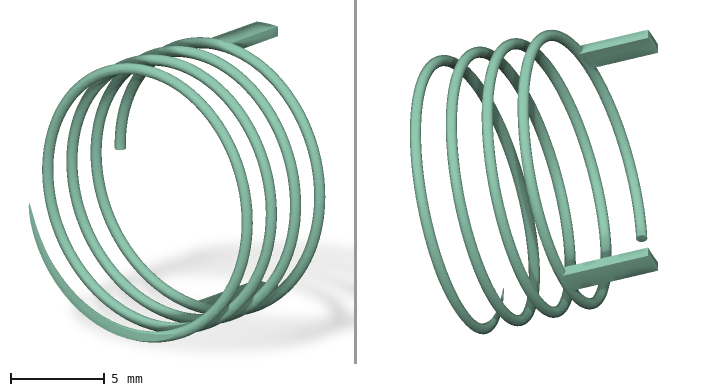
import cadquery as cq
import math

outer_diameter = 15.14
wire_diameter = 0.6
pitch = 2.075
half_turns = 8
ground_depth = 0.355

overall_length = 11.5
tab_width = 1.46
tab_thickness = 0.55

wire_radius = wire_diameter / 2
coil_radius = outer_diameter / 2 - wire_radius
half_pitch = pitch / 2
tab_outer_radius = coil_radius + tab_thickness / 2
tab_inner_radius = coil_radius - tab_thickness / 2

coil_end_y = half_turns * half_pitch - ground_depth
bottom_crossing_y = coil_end_y - 0.75 * pitch
top_crossing_y = coil_end_y - 0.25 * pitch


def make_half_turn(index):
    """Half turn of wire, swept around Z and then turned so that the coil rises along +Y."""
    path = cq.Wire.makeHelix(pitch, half_pitch, coil_radius, lefthand=True)
    start_tangent = (0, -2 * math.pi * coil_radius, pitch)
    section_plane = cq.Plane(origin=(coil_radius, 0, 0), xDir=(0, 0, 1), normal=start_tangent)
    section = (
        cq.Workplane(section_plane)
        .moveTo(wire_radius, 0)
        .threePointArc((0, wire_radius), (-wire_radius, 0))
        .threePointArc((0, -wire_radius), (wire_radius, 0))
        .close()
    )
    wire = section.sweep(cq.Workplane(path), isFrenet=True)
    start_angle = 180 * (index + 1)
    wire = wire.rotate((0, 0, 0), (0, 0, 1), start_angle)
    wire = wire.rotate((0, 0, 0), (1, 0, 0), -90)
    return wire.translate((0, index * half_pitch - ground_depth, 0))


def grind_flat(wire):
    """Remove everything on the -Y side of the plane Y = 0."""
    waste_side = 2 * outer_diameter
    waste = cq.Workplane("XZ").rect(waste_side, waste_side).extrude(outer_diameter)
    return wire.cut(waste)


def make_coil():
    """Join the half turns end to end; only the first one reaches the ground plane."""
    coil = grind_flat(make_half_turn(0))
    for index in range(1, half_turns):
        coil = coil.union(make_half_turn(index))
    return coil


def make_tab(side, root_y):
    """Strip above (side = 1) or below (side = -1) the axis, rooted at the wire centre."""
    length = overall_length - root_y
    ring = (
        cq.Workplane("XZ", origin=(0, overall_length, 0))
        .circle(tab_outer_radius)
        .circle(tab_inner_radius)
        .extrude(length)
    )
    strip = (
        cq.Workplane("XY")
        .box(tab_width, length, coil_radius, centered=(True, False, True))
        .translate((0, root_y, side * coil_radius))
    )
    return ring.intersect(strip)


result = (
    make_coil()
    .union(make_tab(1, top_crossing_y))
    .union(make_tab(-1, bottom_crossing_y))
)